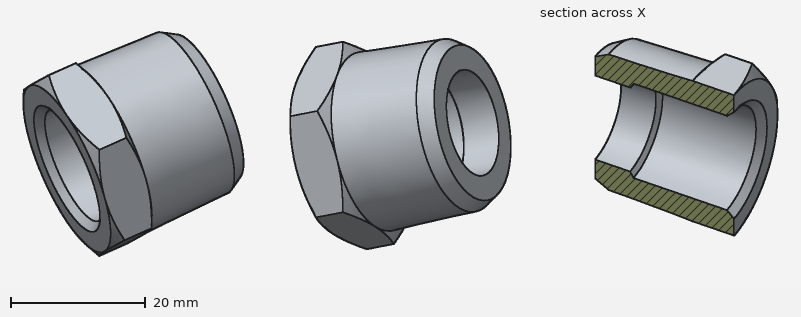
import cadquery as cq
import math

hexagon_sides = 6
across_flats = 27.0
head_length = 7.0
head_chamfer_angle = 30.0

total_length = 23.5
thread_taper = 1 / 16
shank_root_radius = across_flats / 2
tip_chamfer_length = 2.3
tip_chamfer_angle = 30.0

mouth_radius = 10.2
bore_radius = 9.0
outlet_radius = 8.0
mouth_depth = 1.2
bore_depth = 17.0
bore_floor_angle = 30.0

across_corners = across_flats / math.cos(math.pi / hexagon_sides)
taper_end = total_length - tip_chamfer_length
taper_end_radius = shank_root_radius - (taper_end - head_length) * thread_taper / 2
tip_radius = taper_end_radius - tip_chamfer_length * math.tan(math.radians(tip_chamfer_angle))
floor_depth = (bore_radius - outlet_radius) * math.tan(math.radians(bore_floor_angle))


def revolve_profile(points):
    """Revolve a (radius, y) outline about the Y axis."""
    return cq.Workplane("XY").polyline(points).close().revolve(360, (0, 0, 0), (0, 1, 0))


def make_head():
    """Hexagon with its corners turned down to a cone at both ends."""
    corner_radius = across_corners / 2
    flat_radius = across_flats / 2
    chamfer_length = (corner_radius - flat_radius) * math.tan(math.radians(head_chamfer_angle))
    hexagon = cq.Workplane("XZ").polygon(hexagon_sides, across_corners).extrude(-head_length)
    turned_envelope = revolve_profile([
        (0, 0),
        (flat_radius, 0),
        (corner_radius, chamfer_length),
        (corner_radius, head_length - chamfer_length),
        (flat_radius, head_length),
        (0, head_length),
    ])
    return hexagon.intersect(turned_envelope)


def make_shank():
    """Tapered shank with a chamfered tip."""
    return revolve_profile([
        (0, head_length),
        (shank_root_radius, head_length),
        (taper_end_radius, taper_end),
        (tip_radius, total_length),
        (0, total_length),
    ])


def make_bore():
    """Countersunk bore that narrows through a conical floor to the outlet."""
    return revolve_profile([
        (0, 0),
        (mouth_radius, 0),
        (bore_radius, mouth_depth),
        (bore_radius, bore_depth),
        (outlet_radius, bore_depth + floor_depth),
        (outlet_radius, total_length),
        (0, total_length),
    ])


result = make_head().union(make_shank()).cut(make_bore())